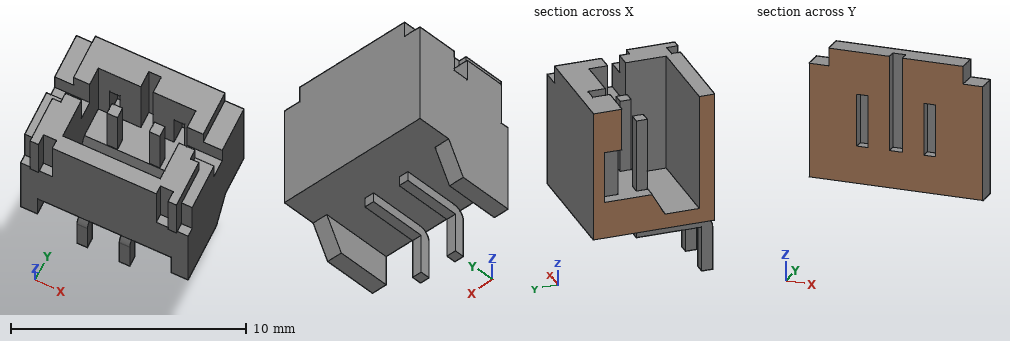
import cadquery as cq


width = 7.9
depth = 5.49
lead_bottom = -2.59
height = 8.61 + lead_bottom
leg_width = 0.8
leg_bottom = -1.6
leg_back_top = 3.7
leg_back_bottom = 2.8

shoulder_width = 0.895
shoulder_drop = 0.81
corner_width = 1.5
corner_depth = 0.405
corner_drop = 3.0
slot_front = 2.55
slot_width = 0.81
slot_drop = 1.9

socket_width = 4.6
socket_front = 0.71
socket_back = 4.2
keyway_width = 0.585
keyway_back = 4.985
recess_inner_x = 1.27
recess_width = 0.5
recess_top = 4.06
floor_front = 0.7
floor_back = 1.72
floor_slope_front = 2.25
floor_slope_back = 2.83

lead_size = 0.5
lead_pitch = 2.0
lead_top = height - 0.965
pin_back = slot_front + slot_width
lead_front = -0.1
bend_radius = 0.57

tab_thickness = 0.4
tab_back = 2.09
tab_drop = 2.94
tab_outer_x = width / 2 - shoulder_width + tab_thickness


def block(x_range, y_range, z_range):
    """Box spanning the given (low, high) range along each axis."""
    size = [high - low for low, high in (x_range, y_range, z_range)]
    corner = (x_range[0], y_range[0], z_range[0])
    return cq.Workplane("XY").box(*size, centered=False).translate(corner)


def side_block(side, inner_x, outer_x, y_range, z_range):
    """Box on the left (side = -1) or right (side = 1) of the centre plane."""
    return block(sorted((side * inner_x, side * outer_x)), y_range, z_range)


def extrude_across(profile, thickness, center_x):
    """Extrude a YZ profile along X, centred on center_x."""
    return profile.extrude(thickness / 2, both=True).translate((center_x, 0, 0))


def leg(side):
    """Leg below one side of the housing, with a sloped back edge."""
    profile = cq.Workplane("YZ").polyline([
        (0, 0),
        (leg_back_top, 0),
        (leg_back_bottom, leg_bottom),
        (0, leg_bottom),
    ]).close()
    return extrude_across(profile, leg_width, side * (width - leg_width) / 2)


def socket():
    """Cavity open at the top, deeper at the front, with a keyway at the back."""
    profile = cq.Workplane("YZ").polyline([
        (socket_front, height),
        (socket_front, floor_front),
        (floor_slope_front, floor_front),
        (floor_slope_back, floor_back),
        (socket_back, floor_back),
        (socket_back, height),
    ]).close()
    keyway = block(
        (-keyway_width / 2, keyway_width / 2), (socket_back, keyway_back), (floor_back, height)
    )
    return extrude_across(profile, socket_width, 0).union(keyway)


def back_recess(side):
    """Roofed recess low in the back wall of the socket, as deep as the keyway."""
    outer_x = recess_inner_x + recess_width
    return side_block(
        side, recess_inner_x, outer_x, (socket_back, keyway_back), (floor_back, recess_top)
    )


def lead(side):
    """Contact pin rising in the socket, running forward under the housing, then down."""
    profile = (
        cq.Workplane("YZ")
        .moveTo(pin_back, lead_top)
        .lineTo(pin_back, -lead_size)
        .lineTo(lead_front + lead_size, -lead_size)
        .lineTo(lead_front + lead_size, lead_bottom)
        .lineTo(lead_front, lead_bottom)
        .lineTo(lead_front, -bend_radius)
        .radiusArc((lead_front + bend_radius, 0), bend_radius)
        .lineTo(pin_back - lead_size, 0)
        .lineTo(pin_back - lead_size, lead_top)
        .close()
    )
    return extrude_across(profile, lead_size, side * lead_pitch / 2)


def tab(side):
    """Upright plate standing on a shoulder and hanging down over the front corner step."""
    inner_x = tab_outer_x - tab_thickness
    upper = side_block(side, inner_x, tab_outer_x, (lead_front, tab_back), (height - shoulder_drop, height))
    front = side_block(side, inner_x, tab_outer_x, (lead_front, corner_depth), (height - tab_drop, height))
    return upper.union(front)


result = block((-width / 2, width / 2), (0, depth), (0, height)).cut(socket())

half = width / 2
slot_range = (slot_front, slot_front + slot_width)
for side in (-1, 1):
    result = result.cut(
        side_block(side, half - shoulder_width, half, (0, depth), (height - shoulder_drop, height))
    )
    result = result.cut(
        side_block(side, half - corner_width, half, (0, corner_depth), (height - corner_drop, height))
    )
    result = result.cut(
        side_block(side, socket_width / 2, half, slot_range, (height - slot_drop, height))
    )
    result = result.cut(back_recess(side))
    result = result.union(leg(side)).union(tab(side)).union(lead(side))